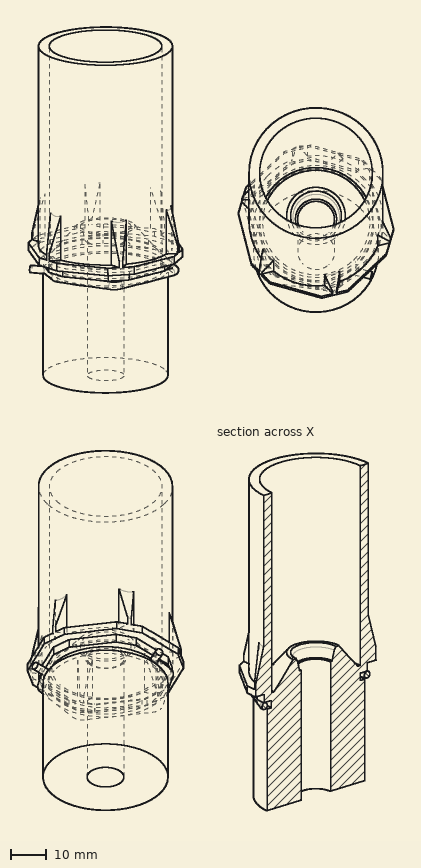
import math

import cadquery as cq

TOTAL_HEIGHT = 96.0
GROOVE_BOTTOM = 30.9
GROOVE_WIDTH = 2.1
COLLAR_BOTTOM = GROOVE_BOTTOM + GROOVE_WIDTH
FLANGE_BOTTOM = 35.5
FLANGE_TOP = 37.7
RIB_KNEE = 39.7
RIB_TOP = 50.5

UPPER_TUBE_RADIUS = 18.75
LOWER_TUBE_RADIUS = 17.5
GROOVE_RADIUS = 16.0
BORE_RADIUS = 15.75
TUBE_MID_WALL_RADIUS = (UPPER_TUBE_RADIUS + BORE_RADIUS) / 2

FLANGE_FLATS_X = 20.5
FLANGE_FLATS_Y = 21.5
COLLAR_FLATS_X = 17.5
COLLAR_FLATS_Y = 18.5
HEXAGON_SIDES = 6

RIB_COUNT = 6
RIB_APEX_RADIUS = 22.4
RIB_HALF_ANGLE = 30.0
FIRST_RIB_ANGLE = 30.0
RIB_SLOPE_TOP_RADIUS = 18.65

BORE_FLOOR = FLANGE_BOTTOM
CONE_BASE_RADIUS = 15.0
CONE_TIP_RADIUS = 8.2
CONE_HEIGHT = 8.0
CONE_TIP = BORE_FLOOR + CONE_HEIGHT

LIP_RADIUS = 7.1
LIP_DEPTH = 1.0
FUNNEL_RADIUS = 6.5
FUNNEL_DEPTH = 3.0
SEAT_RADIUS = 5.75
SEAT_DEPTH = 0.2
HOLE_RADIUS = 5.15

WIRE_RADIUS = GROOVE_WIDTH / 2
WIRE_HEIGHT = GROOVE_BOTTOM + WIRE_RADIUS
WIRE_OFFSET = GROOVE_RADIUS + WIRE_RADIUS
ARM_SLOPE = 22.5
ARM_END_X = -7.4
TAIL_SLOPE = 30.0
TAIL_END_X = -11.5
BACK_BEND_RADIUS = 2.5
SIDE_BEND_RADIUS = 2.0
TAIL_BEND_RADIUS = 1.2


def hexagon_prism(flat_distance, first_flat_angle, bottom, top):
    """Hexagonal prism with one flat facing the given angle."""
    corner_angle = 180 / HEXAGON_SIDES
    corner_diameter = 2 * flat_distance / math.cos(math.radians(corner_angle))
    prism = cq.Workplane("XY").polygon(HEXAGON_SIDES, corner_diameter).extrude(top - bottom)
    return prism.rotate((0, 0, 0), (0, 0, 1), first_flat_angle - corner_angle).translate((0, 0, bottom))


def twelve_sided_prism(flats_x, flats_y, bottom, top):
    """Hexagon with flats across X, trimmed by a hexagon with flats across Y."""
    return hexagon_prism(flats_x, 0, bottom, top).intersect(hexagon_prism(flats_y, 90, bottom, top))


def cylinder(radius, bottom, top):
    return cq.Workplane("XY").workplane(offset=bottom).circle(radius).extrude(top - bottom)


def rib(angle):
    """Wedge narrowing outward, sloped from the tube down to a short upright tip."""
    base_half_width = RIB_APEX_RADIUS * math.tan(math.radians(RIB_HALF_ANGLE))
    wedge = (
        cq.Workplane("XY")
        .workplane(offset=FLANGE_BOTTOM)
        .polyline([(0, -base_half_width), (RIB_APEX_RADIUS, 0), (0, base_half_width)])
        .close()
        .extrude(RIB_TOP - FLANGE_BOTTOM)
    )
    side_profile = (
        cq.Workplane("XZ")
        .polyline([
            (TUBE_MID_WALL_RADIUS, FLANGE_BOTTOM),
            (FLANGE_FLATS_Y, FLANGE_BOTTOM),
            (FLANGE_FLATS_Y, RIB_KNEE),
            (RIB_SLOPE_TOP_RADIUS, RIB_TOP),
            (TUBE_MID_WALL_RADIUS, RIB_TOP),
        ])
        .close()
        .extrude(base_half_width, both=True)
    )
    return wedge.intersect(side_profile).rotate((0, 0, 0), (0, 0, 1), angle)


def bore_cutter():
    """Space inside the upper tube, around and above the nozzle cone."""
    profile = [
        (0, CONE_TIP),
        (CONE_TIP_RADIUS, CONE_TIP),
        (CONE_BASE_RADIUS, BORE_FLOOR),
        (BORE_RADIUS, BORE_FLOOR),
        (BORE_RADIUS, TOTAL_HEIGHT),
        (0, TOTAL_HEIGHT),
    ]
    return cq.Workplane("XZ").polyline(profile).close().revolve(360, (0, 0, 0), (0, 1, 0))


def passage_cutter():
    """Passage that narrows from the nozzle lip to the through hole."""
    funnel_top = CONE_TIP - LIP_DEPTH
    seat_top = funnel_top - FUNNEL_DEPTH
    profile = [
        (0, CONE_TIP),
        (LIP_RADIUS, CONE_TIP),
        (FUNNEL_RADIUS, funnel_top),
        (SEAT_RADIUS, seat_top),
        (HOLE_RADIUS, seat_top - SEAT_DEPTH),
        (HOLE_RADIUS, 0),
        (0, 0),
    ]
    return cq.Workplane("XZ").polyline(profile).close().revolve(360, (0, 0, 0), (0, 1, 0))


def make_housing():
    body = cylinder(LOWER_TUBE_RADIUS, 0, GROOVE_BOTTOM)
    body = body.union(cylinder(GROOVE_RADIUS, GROOVE_BOTTOM, COLLAR_BOTTOM))
    body = body.union(twelve_sided_prism(COLLAR_FLATS_X, COLLAR_FLATS_Y, COLLAR_BOTTOM, FLANGE_BOTTOM))
    body = body.union(twelve_sided_prism(FLANGE_FLATS_X, FLANGE_FLATS_Y, FLANGE_BOTTOM, FLANGE_TOP))
    body = body.union(cylinder(UPPER_TUBE_RADIUS, FLANGE_TOP, TOTAL_HEIGHT))
    for index in range(RIB_COUNT):
        body = body.union(rib(FIRST_RIB_ANGLE + index * 360 / RIB_COUNT))
    body = body.cut(bore_cutter()).cut(passage_cutter())
    return body.solids()


def bend(before, corner, after, radius):
    """Start, middle and end of the arc that rounds a corner of the wire path."""
    to_before = (before - corner).normalized()
    to_after = (after - corner).normalized()
    half_angle = to_before.getAngle(to_after) / 2
    tangent_length = radius / math.tan(half_angle)
    inward = (to_before + to_after).normalized()
    middle = corner + inward * (radius / math.sin(half_angle) - radius)
    return corner + to_before * tangent_length, middle, corner + to_after * tangent_length


def make_clip():
    """Wire with a straight back, two bent arms tangent to the groove and flared tails."""
    arm_slope = math.tan(math.radians(ARM_SLOPE))
    side_y = WIRE_OFFSET / math.cos(math.radians(ARM_SLOPE))
    back_y = side_y - WIRE_OFFSET * arm_slope
    arm_end_y = side_y + ARM_END_X * arm_slope
    tail_end_y = arm_end_y + (ARM_END_X - TAIL_END_X) * math.tan(math.radians(TAIL_SLOPE))

    half_corners = [
        (TAIL_END_X, tail_end_y),
        (ARM_END_X, arm_end_y),
        (0, side_y),
        (WIRE_OFFSET, back_y),
    ]
    mirrored_corners = [(x, -y) for x, y in reversed(half_corners)]
    corners = [cq.Vector(x, y, WIRE_HEIGHT) for x, y in half_corners + mirrored_corners]
    half_bends = [TAIL_BEND_RADIUS, SIDE_BEND_RADIUS, BACK_BEND_RADIUS]
    bend_radii = half_bends + half_bends[::-1]

    edges = []
    start = corners[0]
    for before, corner, after, radius in zip(corners, corners[1:], corners[2:], bend_radii):
        bend_start, bend_middle, bend_end = bend(before, corner, after, radius)
        edges.append(cq.Edge.makeLine(start, bend_start))
        edges.append(cq.Edge.makeThreePointArc(bend_start, bend_middle, bend_end))
        start = bend_end
    edges.append(cq.Edge.makeLine(start, corners[-1]))
    path = cq.Workplane(cq.Wire.assembleEdges(edges))

    section_plane = cq.Plane(origin=corners[0], xDir=(0, 0, 1), normal=corners[1] - corners[0])
    return cq.Workplane(section_plane).circle(WIRE_RADIUS).sweep(path)


housing = make_housing()
clip = make_clip()

result = cq.Compound.makeCompound([housing.val(), clip.val()])